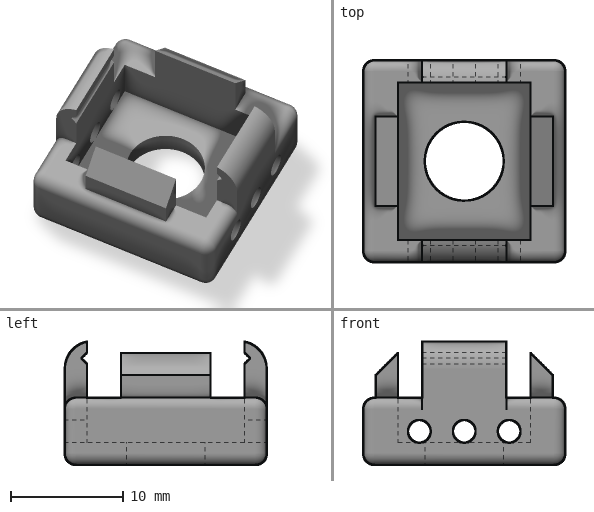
import cadquery as cq

base_side = 18.0
base_height = 6.0
edge_radius = 1.0
half_side = base_side / 2

pocket_length_x = 11.77
pocket_length_y = 14.0
floor_thickness = 2.0
floor_hole_diameter = 7.0

side_hole_diameter = 2.0
side_hole_spacing = 4.0
side_hole_count = 3
side_hole_height = floor_thickness + side_hole_diameter / 2

hook_width = 7.5
hook_top = 11.0
hook_back_radius = 2.5
hook_root = base_height - edge_radius
hook_inner_y = pocket_length_y / 2
notch_depth = 0.5
notch_height = 9.5

tab_width = 8.0
tab_thickness = 2.0
tab_height = 4.0
tab_inner_x = pocket_length_x / 2
tab_outer_x = tab_inner_x + tab_thickness
tab_top = base_height + tab_height
tab_bevel_start = tab_top - tab_thickness


def make_base():
    block = cq.Workplane("XY").box(base_side, base_side, base_height, centered=(True, True, False))
    return block.edges().fillet(edge_radius)


def make_pocket():
    return (
        cq.Workplane("XY")
        .workplane(offset=floor_thickness)
        .rect(pocket_length_x, pocket_length_y)
        .extrude(base_height - floor_thickness)
    )


def make_floor_hole():
    return cq.Workplane("XY").circle(floor_hole_diameter / 2).extrude(floor_thickness)


def make_side_holes():
    return (
        cq.Workplane("XZ", origin=(0, 0, side_hole_height))
        .rarray(side_hole_spacing, 0.18, side_hole_count, 1)
        .circle(side_hole_diameter / 2)
        .extrude(half_side, both=True)
    )


def make_hook():
    """Hook on the +Y wall: rounded back, flat inner face with a V notch."""
    arc_centre_y = half_side - hook_back_radius
    tip_offset = hook_inner_y - arc_centre_y
    arc_start = hook_top - (hook_back_radius**2 - tip_offset**2) ** 0.5
    return (
        cq.Workplane("YZ")
        .moveTo(hook_inner_y, hook_root)
        .lineTo(half_side, hook_root)
        .lineTo(half_side, arc_start)
        .tangentArcPoint((hook_inner_y, hook_top), relative=False)
        .lineTo(hook_inner_y, notch_height + notch_depth)
        .lineTo(hook_inner_y + notch_depth, notch_height)
        .lineTo(hook_inner_y, notch_height - notch_depth)
        .close()
        .extrude(hook_width / 2, both=True)
    )


def make_tab():
    """Tab on the +X side: upright inner face, 45 degree bevel facing outward."""
    return (
        cq.Workplane("XZ")
        .moveTo(tab_inner_x, floor_thickness)
        .lineTo(tab_outer_x, floor_thickness)
        .lineTo(tab_outer_x, tab_bevel_start)
        .lineTo(tab_inner_x, tab_top)
        .close()
        .extrude(tab_width / 2, both=True)
    )


hook = make_hook()
tab = make_tab()

result = make_base()
for feature, mirror_plane in ((hook, "XZ"), (tab, "YZ")):
    result = result.union(feature).union(feature.mirror(mirror_plane))
result = result.cut(make_pocket()).cut(make_floor_hole()).cut(make_side_holes())